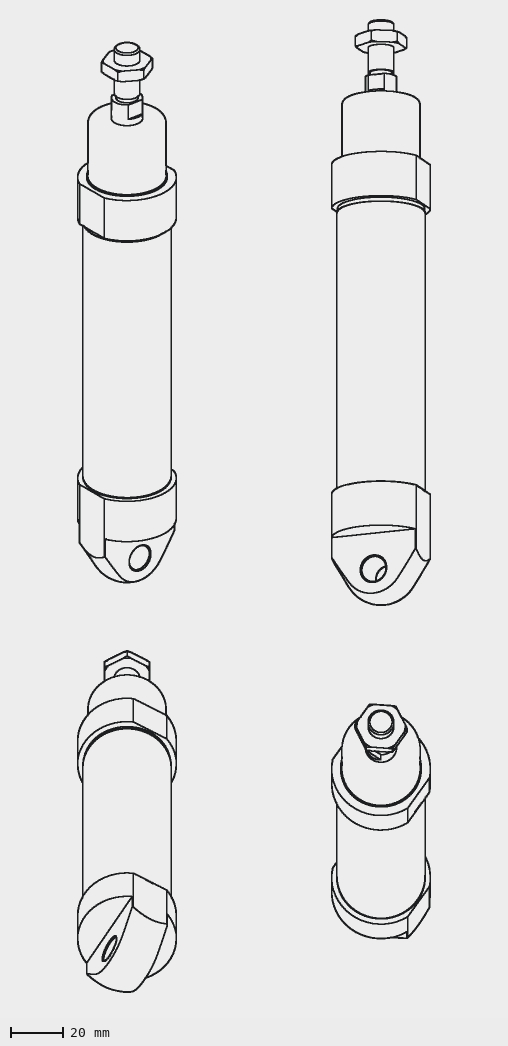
import cadquery as cq
import math

TOTAL_HEIGHT = 231.5
EYE_HOLE_Z = 12.0
REAR_COLLAR_BOTTOM_Z = 26.2
COLLAR_LENGTH = 17.5
FRONT_COLLAR_BOTTOM_Z = 157.5
NOSE_TOP_Z = 200.7
ROD_SHOULDER_Z = 209.7
NUT_BOTTOM_Z = 221.5
NUT_THICKNESS = 4.6

COLLAR_DIAMETER = 38.0
COLLAR_FLATS_WIDTH = 35.0
TUBE_DIAMETER = 34.0
NECK_DIAMETER = 33.5
FRONT_NECK_LENGTH = 1.6
REAR_NECK_LENGTH = 0.5
NOSE_DIAMETER = 30.0
NOSE_RING_DIAMETER = 31.0
NOSE_RING_HEIGHT = 0.5
NOSE_FILLET = 2.0

EYE_THICKNESS = 15.7
EYE_END_RADIUS = 14.5
EYE_CONE_ANGLE = math.radians(60)
EYE_HOLE_DIAMETER = 10.0
EYE_HOLE_CHAMFER = 0.5

ROD_DIAMETER = 12.0
ROD_FLATS_WIDTH = 10.0
ROD_FLATS_LENGTH = 6.3
THREAD_DIAMETER = 10.0
THREAD_CHAMFER = 0.7
RELIEF_DIAMETER = 8.5
RELIEF_LENGTH = 1.9

NUT_FLATS_WIDTH = 17.4
NUT_END_DIAMETER = 18.5
NUT_CHAMFER_ANGLE = math.radians(30)
NUT_CORNER_DIAMETER = NUT_FLATS_WIDTH / math.cos(math.pi / 6)

REAR_COLLAR_TOP_Z = REAR_COLLAR_BOTTOM_Z + COLLAR_LENGTH
FRONT_COLLAR_TOP_Z = FRONT_COLLAR_BOTTOM_Z + COLLAR_LENGTH


def cylinder(diameter, bottom, top):
    """Solid cylinder on the Z axis between two heights."""
    return cq.Workplane("XY").workplane(offset=bottom).circle(diameter / 2).extrude(top - bottom)


def make_collar(bottom):
    """Round end collar with two wrench flats facing -Y and +Y."""
    flats = cq.Workplane("XY").box(COLLAR_DIAMETER, COLLAR_FLATS_WIDTH, COLLAR_LENGTH,
                                   centered=(True, True, False))
    return cylinder(COLLAR_DIAMETER, bottom, bottom + COLLAR_LENGTH).intersect(
        flats.translate((0, 0, bottom)))


def make_eye():
    """Tongue below the rear collar, rounded at its end and drilled along X."""
    outer_radius = COLLAR_DIAMETER / 2
    tangent_radius = EYE_END_RADIUS * math.sin(EYE_CONE_ANGLE)
    tangent_z = EYE_END_RADIUS * (1 - math.cos(EYE_CONE_ANGLE))
    cone_top_z = tangent_z + (outer_radius - tangent_radius) * math.tan(EYE_CONE_ANGLE)
    half_angle = EYE_CONE_ANGLE / 2
    arc_middle = (EYE_END_RADIUS * math.sin(half_angle),
                  EYE_END_RADIUS * (1 - math.cos(half_angle)))
    round_end = (
        cq.Workplane("XZ")
        .moveTo(0, 0)
        .threePointArc(arc_middle, (tangent_radius, tangent_z))
        .lineTo(outer_radius, cone_top_z)
        .lineTo(outer_radius, REAR_COLLAR_BOTTOM_Z)
        .lineTo(0, REAR_COLLAR_BOTTOM_Z)
        .close()
        .revolve(360, (0, 0, 0), (0, 1, 0))
    )
    tongue = cq.Workplane("XY").box(EYE_THICKNESS, COLLAR_FLATS_WIDTH, REAR_COLLAR_BOTTOM_Z,
                                    centered=(True, True, False))
    eye = round_end.intersect(tongue)
    hole_radius = EYE_HOLE_DIAMETER / 2
    half_thickness = EYE_THICKNESS / 2
    mouth_radius = hole_radius + EYE_HOLE_CHAMFER
    hole = (
        cq.Workplane("XZ")
        .moveTo(-half_thickness, EYE_HOLE_Z)
        .lineTo(-half_thickness, EYE_HOLE_Z + mouth_radius)
        .lineTo(-half_thickness + EYE_HOLE_CHAMFER, EYE_HOLE_Z + hole_radius)
        .lineTo(half_thickness - EYE_HOLE_CHAMFER, EYE_HOLE_Z + hole_radius)
        .lineTo(half_thickness, EYE_HOLE_Z + mouth_radius)
        .lineTo(half_thickness, EYE_HOLE_Z)
        .close()
        .revolve(360, (0, EYE_HOLE_Z, 0), (1, EYE_HOLE_Z, 0))
    )
    return eye.cut(hole)


def make_housing():
    """Tube with its necks, both collars, the front nose with its base ring and the rear eye."""
    necks = cylinder(NECK_DIAMETER, REAR_COLLAR_TOP_Z, FRONT_COLLAR_BOTTOM_Z)
    tube = cylinder(TUBE_DIAMETER, REAR_COLLAR_TOP_Z + REAR_NECK_LENGTH,
                    FRONT_COLLAR_BOTTOM_Z - FRONT_NECK_LENGTH)
    nose_ring = cylinder(NOSE_RING_DIAMETER, FRONT_COLLAR_TOP_Z, FRONT_COLLAR_TOP_Z + NOSE_RING_HEIGHT)
    nose = cylinder(NOSE_DIAMETER, FRONT_COLLAR_TOP_Z, NOSE_TOP_Z).faces(">Z").edges().fillet(NOSE_FILLET)
    return (
        make_eye()
        .union(make_collar(REAR_COLLAR_BOTTOM_Z))
        .union(necks)
        .union(tube)
        .union(make_collar(FRONT_COLLAR_BOTTOM_Z))
        .union(nose_ring)
        .union(nose)
    )


def make_rod():
    """Exposed piston rod: shank with two flats, thread relief and thread."""
    relief_top_z = ROD_SHOULDER_Z + RELIEF_LENGTH
    shank = cylinder(ROD_DIAMETER, NOSE_TOP_Z, ROD_SHOULDER_Z)
    for side in (-1, 1):
        flat_cut = cq.Workplane("XY").box(ROD_DIAMETER, ROD_DIAMETER, ROD_FLATS_LENGTH).translate(
            (side * (ROD_FLATS_WIDTH + ROD_DIAMETER) / 2, 0, ROD_SHOULDER_Z - ROD_FLATS_LENGTH / 2))
        shank = shank.cut(flat_cut)
    relief = cylinder(RELIEF_DIAMETER, ROD_SHOULDER_Z, relief_top_z)
    thread = cylinder(THREAD_DIAMETER, relief_top_z, TOTAL_HEIGHT).faces(">Z").edges().chamfer(THREAD_CHAMFER)
    return shank.union(relief).union(thread)


def make_nut():
    """Hexagon nut with corners on the X axis, chamfered at both ends and bored to fit the thread."""
    blank = (
        cq.Workplane("XY")
        .workplane(offset=NUT_BOTTOM_Z)
        .polygon(6, NUT_CORNER_DIAMETER)
        .circle(THREAD_DIAMETER / 2)
        .extrude(NUT_THICKNESS)
    )
    corner_radius = NUT_CORNER_DIAMETER / 2
    end_radius = NUT_END_DIAMETER / 2
    corner_drop = (corner_radius - end_radius) * math.tan(NUT_CHAMFER_ANGLE)
    nut_top_z = NUT_BOTTOM_Z + NUT_THICKNESS
    chamfer_envelope = (
        cq.Workplane("XZ")
        .moveTo(0, NUT_BOTTOM_Z)
        .lineTo(end_radius, NUT_BOTTOM_Z)
        .lineTo(corner_radius, NUT_BOTTOM_Z + corner_drop)
        .lineTo(corner_radius, nut_top_z - corner_drop)
        .lineTo(end_radius, nut_top_z)
        .lineTo(0, nut_top_z)
        .close()
        .revolve(360, (0, 0, 0), (0, 1, 0))
    )
    return blank.intersect(chamfer_envelope)


housing = make_housing()
rod = make_rod()
nut = make_nut()

result = cq.Compound.makeCompound([housing.val(), rod.val(), nut.val()])